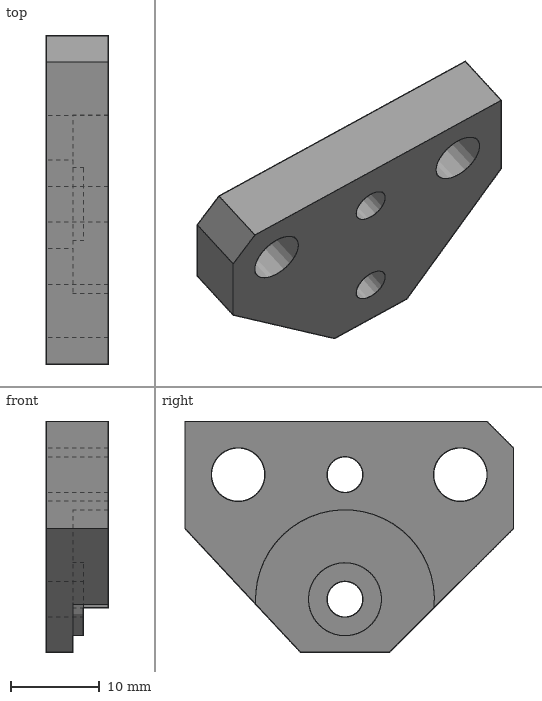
import cadquery as cq

thickness = 7.0
length = 37.0
height = 26.0
y_max = length / 2
z_max = height / 2

corner_cut = 3.0
taper_height = 13.95
taper_run = 14.0
foot_width = 10.0

mount_diameter = 6.0
mount_inset = 6.0
small_diameter = 4.0
lower_hole_height = 6.0

web_thickness = 3.0
recess_radius = 10.05
boss_radius = 4.1
boss_height = 1.2

foot_left = y_max - taper_run
foot_right = foot_left - foot_width
hole_y = foot_left - foot_width / 2
upper_z = z_max - mount_inset
lower_z = lower_hole_height - z_max
mount_y = y_max - mount_inset
taper_top = taper_height - z_max


def rod(y, z, radius, x_start, depth):
    """Cylinder along +X, starting at x_start."""
    return cq.Workplane("YZ", origin=(x_start, y, z)).circle(radius).extrude(depth)


plate = (
    cq.Workplane("YZ")
    .polyline([
        (y_max - corner_cut, z_max),
        (y_max, z_max - corner_cut),
        (y_max, taper_top),
        (foot_left, -z_max),
        (foot_right, -z_max),
        (-y_max, taper_top),
        (-y_max, z_max),
    ])
    .close()
    .extrude(thickness)
)

recess = rod(hole_y, lower_z, recess_radius, web_thickness, thickness - web_thickness)
boss = rod(hole_y, lower_z, boss_radius, web_thickness, boss_height)
result = plate.cut(recess.cut(boss))

for y, z, diameter in [
    (mount_y, upper_z, mount_diameter),
    (-mount_y, upper_z, mount_diameter),
    (hole_y, upper_z, small_diameter),
    (hole_y, lower_z, small_diameter),
]:
    result = result.cut(rod(y, z, diameter / 2, 0, thickness))